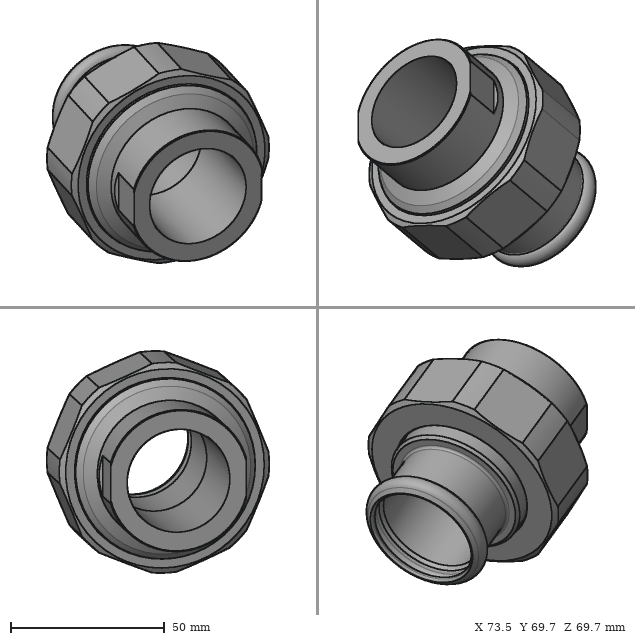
import cadquery as cq
import math

length = 73.5
through_diameter = 34.0

pipe_diameter = 38.4
pipe_bore_diameter = 35.4
collar_diameter = 47.0
collar_start = 23.1
collar_chamfer = 1.0
collar_fillet = 0.9

bead_diameter = 43.6
bead_center = 3.8
bead_radius = 3.2
bead_cone_length = 1.1
bead_root_fillet = 0.45
mouth_outer_diameter = 37.5
mouth_diameter = 35.8
lip_radius = (mouth_outer_diameter - mouth_diameter) / 2
groove_start = 1.6
groove_diameter = 40.6
groove_cone_start = 5.2
groove_cone_start_diameter = 38.95
groove_cone_end = 5.9
groove_cone_end_diameter = 37.2

nut_start = 28.5
nut_end = 51.4
nut_across_flats = 67.0
nut_corner_diameter = 69.7
nut_sides = 8
nut_chamfer_length = 1.1
nut_chamfer_depth = 1.9
nut_lip = 2.95
collar_hole_diameter = 47.5
collar_hole_chamfer = 0.2
nut_bore_diameter = 60.0

flange_thickness = 4.4
flange_start = nut_start + nut_lip
joint_face = flange_start + flange_thickness

shoulder_diameter = 59.5
shoulder_end = 52.2
cone_break = 54.2
cone_break_diameter = 2 * (shoulder_diameter / 2 - (cone_break - shoulder_end))
hub_diameter = 47.0
cone_end = 56.5
hub_end_chamfer = 0.3
flat_distance = 22.5
flat_start = 60.5


def revolved(profile):
    """Turn a closed (x, radius) wire into a solid about the X axis."""
    return profile.close().revolve(360, (0, 0, 0), (1, 0, 0))


def cylinder(start, end, diameter):
    return cq.Workplane("YZ", origin=(start, 0, 0)).circle(diameter / 2).extrude(end - start)


def make_press_tail():
    pipe = pipe_diameter / 2
    bore = pipe_bore_diameter / 2
    collar = collar_diameter / 2
    mouth = mouth_diameter / 2
    diagonal = 1 - math.sqrt(0.5)

    arc_center = bead_diameter / 2 - bead_radius
    cone_offset = bead_center - bead_cone_length
    cone_top = arc_center + math.sqrt(bead_radius**2 - cone_offset**2)
    bead_back = pipe + bead_root_fillet
    back_offset = bead_back - arc_center
    bead_back_x = bead_center + math.sqrt(bead_radius**2 - back_offset**2)
    root_end = bead_back_x + bead_root_fillet

    profile = (
        cq.Workplane("XY")
        .moveTo(0, mouth_outer_diameter / 2)
        .lineTo(bead_cone_length, cone_top)
        .threePointArc((bead_center, bead_diameter / 2), (bead_back_x, bead_back))
        .threePointArc(
            (bead_back_x + diagonal * bead_root_fillet, pipe + diagonal * bead_root_fillet),
            (root_end, pipe),
        )
        .lineTo(collar_start - collar_fillet, pipe)
        .threePointArc(
            (collar_start - diagonal * collar_fillet, pipe + diagonal * collar_fillet),
            (collar_start, pipe + collar_fillet),
        )
        .lineTo(collar_start, collar - collar_chamfer)
        .lineTo(collar_start + collar_chamfer, collar)
        .lineTo(flange_start, collar)
        .lineTo(flange_start, shoulder_diameter / 2)
        .lineTo(joint_face, shoulder_diameter / 2)
        .lineTo(joint_face, bore)
        .lineTo(root_end, bore)
        .lineTo(groove_cone_end, groove_cone_end_diameter / 2)
        .lineTo(groove_cone_start, groove_cone_start_diameter / 2)
        .threePointArc((bead_center, groove_diameter / 2), (groove_start, mouth))
        .lineTo(lip_radius, mouth)
        .threePointArc(
            (diagonal * lip_radius, mouth + diagonal * lip_radius),
            (0, mouth_outer_diameter / 2),
        )
    )
    return revolved(profile)


def make_nut():
    corner = nut_corner_diameter / 2
    face = corner - nut_chamfer_depth
    blank = revolved(
        cq.Workplane("XY")
        .moveTo(nut_start, 0)
        .lineTo(nut_start, face)
        .lineTo(nut_start + nut_chamfer_length, corner)
        .lineTo(nut_end - nut_chamfer_length, corner)
        .lineTo(nut_end, face)
        .lineTo(nut_end, 0)
    )
    octagon = (
        cq.Workplane("YZ", origin=(nut_start, 0, 0))
        .polygon(nut_sides, nut_across_flats, circumscribed=True)
        .extrude(nut_end - nut_start)
        .rotate((0, 0, 0), (1, 0, 0), 180 / nut_sides)
    )
    nut = blank.intersect(octagon)
    nut = nut.cut(cylinder(nut_start, flange_start, collar_hole_diameter))
    hole = collar_hole_diameter / 2
    countersink = revolved(
        cq.Workplane("XY")
        .moveTo(nut_start, 0)
        .lineTo(nut_start, hole + collar_hole_chamfer)
        .lineTo(nut_start + collar_hole_chamfer, hole)
        .lineTo(nut_start + collar_hole_chamfer, 0)
    )
    nut = nut.cut(countersink)
    return nut.cut(cylinder(flange_start, nut_end, nut_bore_diameter))


def make_hub():
    outer = hub_diameter / 2
    bore = through_diameter / 2
    shoulder = shoulder_diameter / 2
    hub = revolved(
        cq.Workplane("XY")
        .moveTo(joint_face, bore)
        .lineTo(joint_face, shoulder)
        .lineTo(shoulder_end, shoulder)
        .lineTo(cone_break, cone_break_diameter / 2)
        .lineTo(cone_end, outer)
        .lineTo(length - hub_end_chamfer, outer)
        .lineTo(length, outer - hub_end_chamfer)
        .lineTo(length, bore)
    )
    flat_depth = outer - flat_distance
    for side in (-1, 1):
        cutter = (
            cq.Workplane("XY", origin=(0, 0, -outer))
            .polyline([
                (flat_start - flat_depth, side * outer),
                (flat_start, side * flat_distance),
                (length, side * flat_distance),
                (length, side * outer),
            ])
            .close()
            .extrude(hub_diameter)
        )
        hub = hub.cut(cutter)
    return hub


center_shift = (-length / 2, 0, 0)
press_tail = make_press_tail().translate(center_shift)
nut = make_nut().translate(center_shift)
hub = make_hub().translate(center_shift)

result = cq.Compound.makeCompound([press_tail.val(), nut.val(), hub.val()])